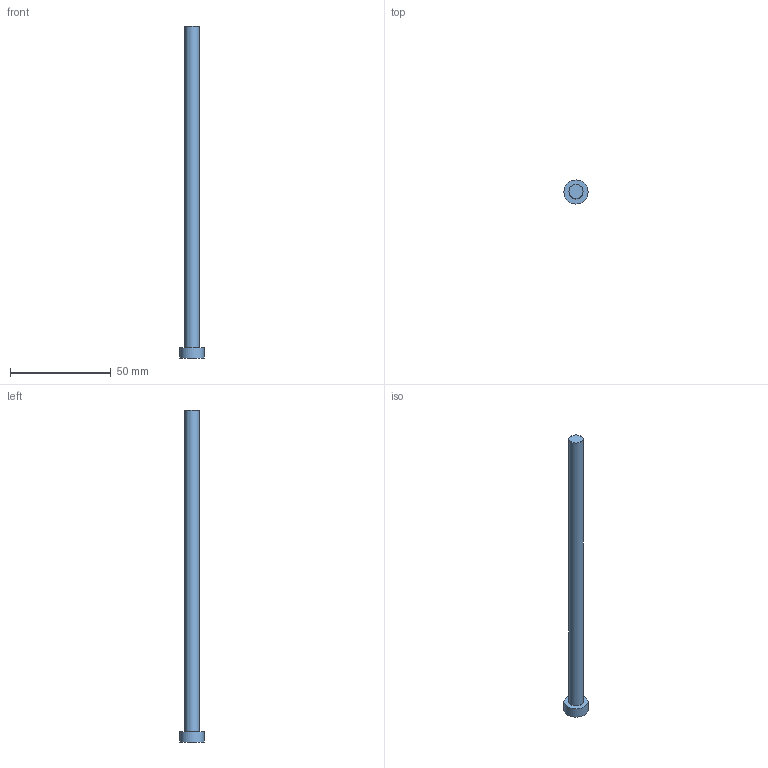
import cadquery as cq

total_length = 165.0
head_diameter = 12.0
head_height = 5.0
shank_diameter = 7.0

shank_length = total_length - head_height


def make_head():
    """Flat disc resting on the XY plane."""
    return cq.Workplane("XY").circle(head_diameter / 2).extrude(head_height)


def add_shank(head):
    """Plain cylinder rising from the top face of the head."""
    return head.faces(">Z").workplane().circle(shank_diameter / 2).extrude(shank_length)


result = add_shank(make_head())